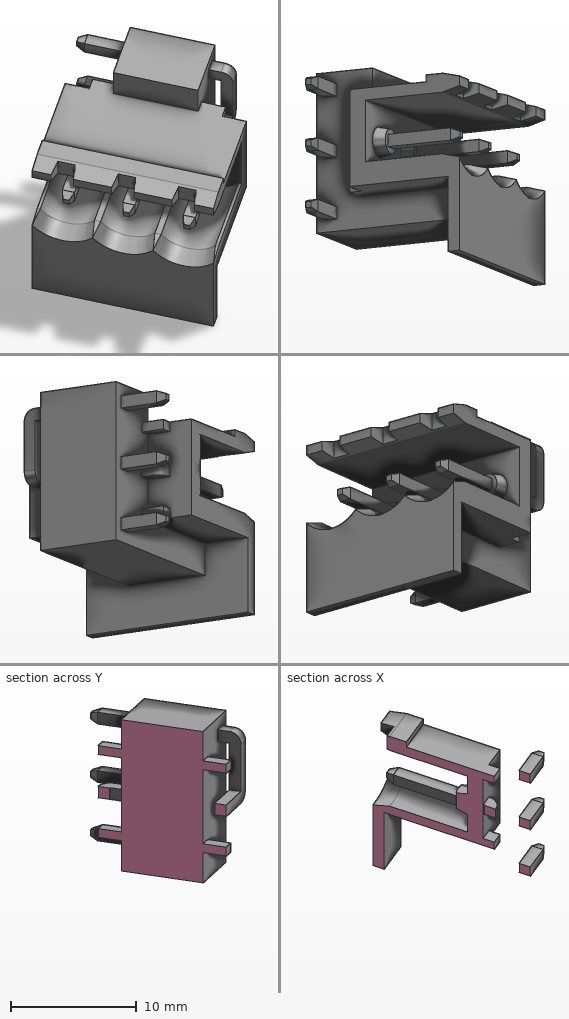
import cadquery as cq


pole_count = 3
pitch = 5.0
pole_xs = [(i - (pole_count - 1) / 2) * pitch for i in range(pole_count)]
width = pole_count * pitch
overall_depth = 14.8
overall_height = 16.5

pin_size = 1.0
pin_tip_size = 0.5
pin_tip_length = 0.71
bend_radius = 0.99
pin_z = 2 * pitch
pin_front_y = 1.1
tail_y = 13.5
tail_zs = [(i + 1) * pitch for i in range(pole_count)]
short_bend_y = 10.41

wall_back_y = 9.8
cavity_back_y = 8.4
cavity_bottom_z = 8.0
cavity_top_z = 13.0
floor_bottom_z = 6.1
roof_top_z = 14.0
skirt_thickness = 1.0
lead_in_depth = 1.5
lead_in_rise = 0.4

lip_depth = 3.0
lip_top_z = 14.55
lip_drop = 0.36

notch_depth = 1.25
notch_front_width = 1.83
notch_back_width = 1.44

scoop_radius = 3.0
scoop_front_radius = 3.46

collar_base_diameter = 2.5
collar_tip_diameter = 2.0
collar_length = 1.0

tab_width = 2 * pitch + pin_size
tab_depth = 1.0
tab_height = 0.8

block_width = 7.01
block_bottom_z = 3.51


def side_extrusion(points, size_x):
    """Extrude a closed (Y, Z) outline symmetrically about the X = 0 plane."""
    return cq.Workplane("YZ").polyline(points).close().extrude(size_x / 2, both=True)


def box_between(low, high):
    """Axis-aligned box from its low corner to its high corner."""
    size = [b - a for a, b in zip(low, high)]
    return cq.Workplane("XY").box(*size, centered=False).translate(low)


def make_shell():
    """C-shaped housing with the latching lip above and the skirt below."""
    outline = [
        (0, 0),
        (skirt_thickness, 0),
        (skirt_thickness, floor_bottom_z),
        (wall_back_y, floor_bottom_z),
        (wall_back_y, roof_top_z),
        (lip_depth, roof_top_z),
        (lip_depth, lip_top_z),
        (lead_in_depth, lip_top_z),
        (0, lip_top_z - lip_drop),
        (0, cavity_top_z + lead_in_rise),
        (lead_in_depth, cavity_top_z),
        (cavity_back_y, cavity_top_z),
        (cavity_back_y, cavity_bottom_z),
        (lead_in_depth, cavity_bottom_z),
        (0, cavity_bottom_z - lead_in_rise),
    ]
    return side_extrusion(outline, width)


def make_scoop(x):
    """Half-round floor recess along Y, flared at the mating face, kept below the pin axis."""
    scoop = (
        cq.Workplane("XY")
        .moveTo(0, 0)
        .lineTo(scoop_front_radius, 0)
        .lineTo(scoop_radius, lead_in_depth)
        .lineTo(scoop_radius, cavity_back_y)
        .lineTo(0, cavity_back_y)
        .close()
        .revolve(360, (0, 0, 0), (0, 1, 0))
    )
    lower_half = box_between(
        (-scoop_front_radius, 0, -scoop_front_radius),
        (scoop_front_radius, cavity_back_y, 0),
    )
    return scoop.intersect(lower_half).translate((x, 0, pin_z))


def make_notch(x):
    """Tapered cut through the lip in front of a pin."""
    outline = [
        (x - notch_front_width / 2, 0),
        (x + notch_front_width / 2, 0),
        (x + notch_back_width / 2, notch_depth),
        (x - notch_back_width / 2, notch_depth),
    ]
    lip_height = lip_top_z - cavity_top_z
    return (
        cq.Workplane("XY", origin=(0, 0, cavity_top_z))
        .polyline(outline)
        .close()
        .extrude(lip_height)
    )


def make_tab(bottom_z):
    """Strip along the back of the housing."""
    return box_between(
        (-tab_width / 2, wall_back_y, bottom_z),
        (tab_width / 2, wall_back_y + tab_depth, bottom_z + tab_height),
    )


def make_block():
    """L-shaped carrier behind and below the housing."""
    outline = [
        (skirt_thickness, block_bottom_z),
        (overall_depth, block_bottom_z),
        (overall_depth, overall_height),
        (wall_back_y, overall_height),
        (wall_back_y, floor_bottom_z),
        (skirt_thickness, floor_bottom_z),
    ]
    return side_extrusion(outline, block_width)


def make_collar(x):
    """Conical collar where a pin leaves the cavity wall."""
    base = cq.Workplane("XZ", origin=(x, cavity_back_y, pin_z)).circle(collar_base_diameter / 2)
    return base.workplane(offset=collar_length).circle(collar_tip_diameter / 2).loft()


def make_pin(plane, tip, length):
    """Square pin starting at its tapered tip and running against the plane normal."""
    shank_length = length - pin_tip_length
    shoulder = cq.Workplane(plane, origin=tip).workplane(offset=-pin_tip_length)
    shank = shoulder.rect(pin_size, pin_size).extrude(-shank_length)
    taper = (
        shoulder.rect(pin_size, pin_size)
        .workplane(offset=pin_tip_length)
        .rect(pin_tip_size, pin_tip_size)
        .loft()
    )
    return shank.union(taper)


def make_contact(x, end_y):
    """Straight mating part of a pin, ending square just past its bend centre."""
    tip = (x, pin_front_y, pin_z)
    return make_pin("XZ", tip, end_y + pin_size / 2 - pin_front_y)


def make_left_contact():
    """Pin that bends sideways into the block directly behind the housing."""
    half = pin_size / 2
    x = pole_xs[0]
    leg = box_between(
        (x - half, short_bend_y - half, pin_z - half),
        (0, short_bend_y + half, pin_z + half),
    )
    outer_corner = cq.selectors.NearestToPointSelector((x - half, short_bend_y + half, pin_z))
    return make_contact(x, short_bend_y).union(leg).edges(outer_corner).fillet(bend_radius)


def make_right_contact():
    """Pin that bends up behind the housing, then sideways into the block."""
    half = pin_size / 2
    x = pole_xs[-1]
    top_z = tail_zs[-1]
    riser = box_between(
        (x - half, tail_y - half, pin_z - half),
        (x + half, tail_y + half, top_z + half),
    )
    leg = box_between(
        (0, tail_y - half, top_z - half),
        (x + half, tail_y + half, top_z + half),
    )
    lower_corner = cq.selectors.NearestToPointSelector((x, tail_y + half, pin_z - half))
    upper_corner = cq.selectors.NearestToPointSelector((x + half, tail_y, top_z + half))
    contact = make_contact(x, tail_y).union(riser).union(leg)
    contact = contact.edges(lower_corner).fillet(bend_radius)
    return contact.edges(upper_corner).fillet(bend_radius)


def make_tail(z):
    """Solder tail leaving the block toward -X."""
    half_width = width / 2
    tip = (half_width, -tail_y, z)
    return make_pin("YZ", tip, half_width).rotate((0, 0, 0), (0, 0, 1), 180)


housing = make_shell()
for pole_x in pole_xs:
    housing = housing.cut(make_scoop(pole_x)).cut(make_notch(pole_x))
housing = housing.union(make_tab(floor_bottom_z))
housing = housing.union(make_tab(roof_top_z - tab_height))

result = housing.union(make_block())
for pole_x in pole_xs:
    result = result.union(make_collar(pole_x))
result = result.union(make_left_contact())
for middle_x in pole_xs[1:-1]:
    result = result.union(make_contact(middle_x, tail_y))
result = result.union(make_right_contact())
for tail_z in tail_zs:
    result = result.union(make_tail(tail_z))